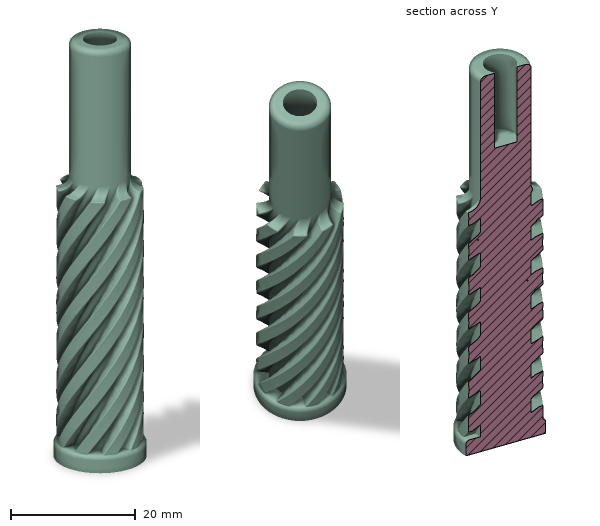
import cadquery as cq
import math

total_height = 72.5
shank_radius = 5.0
tip_fillet = 1.0
bore_radius = 2.75
bore_depth = 14.5

flange_radius = 15.0 / 2
flange_height = 3.0
flange_fillet = 0.8

ridge_count = 9
ridge_radius = 7.0
ridge_crest_width = 2.5
ridge_root_width = 2.0
ridge_root_radius = 4.35
ridge_lead = 59.95
ridge_bottom = 1.45
ridge_top = 49.0
first_ridge_direction = 360 * ridge_bottom / ridge_lead
ridge_fillet = 0.21
cove_runout = 0.01
cove_inner_radius = shank_radius - cove_runout
cove_radius = ridge_radius - shank_radius
cutter_margin = 0.7


def make_shank():
    """Round shank over the full height, rounded at the tip."""
    shank = cq.Workplane("XY").circle(shank_radius).extrude(total_height)
    return shank.faces(">Z").edges().fillet(tip_fillet)


def make_flange():
    """Disc at the foot with a rounded upper rim."""
    disc = cq.Workplane("XY").circle(flange_radius).extrude(flange_height)
    return disc.faces(">Z").edges().fillet(flange_fillet)


def make_plain_ridge():
    """One sharp-edged ridge that winds up around the axis and widens towards its crest."""
    half_root = ridge_root_width / 2
    half_crest = ridge_crest_width / 2
    crest_corner = math.sqrt(ridge_radius**2 - half_crest**2)
    section = (
        cq.Workplane("XY", origin=(0, 0, ridge_bottom))
        .moveTo(ridge_root_radius, -half_root)
        .lineTo(crest_corner, -half_crest)
        .threePointArc((ridge_radius, 0), (crest_corner, half_crest))
        .lineTo(ridge_root_radius, half_root)
        .close()
    )
    ridge_height = ridge_top - ridge_bottom
    ridge = section.twistExtrude(ridge_height, 360 * ridge_height / ridge_lead)
    return ridge.rotate((0, 0, 0), (0, 0, 1), first_ridge_direction)


def make_cove_cutter():
    """Ring that hollows the upper end of a ridge into a concave quarter round."""
    cove_bottom = ridge_top - cove_radius
    bend = cove_radius * (1 - math.sqrt(0.5))
    outside = ridge_radius + cutter_margin
    above = ridge_top + cutter_margin
    return (
        cq.Workplane("XZ")
        .moveTo(cove_inner_radius, ridge_top)
        .threePointArc(
            (cove_inner_radius + bend, cove_bottom + bend),
            (cove_inner_radius + cove_radius, cove_bottom),
        )
        .lineTo(outside, cove_bottom)
        .lineTo(outside, above)
        .lineTo(cove_inner_radius, above)
        .close()
        .revolve(360, (0, 0, 0), (0, 1, 0))
    )


def is_exposed(edge):
    """True for ridge edges that stand clear of the shank and the flange."""
    middle = edge.positionAt(0.5)
    clear_of_shank = math.hypot(middle.x, middle.y) > shank_radius
    return clear_of_shank and flange_height < middle.z < ridge_top


def make_ridge():
    """One ridge with its coved upper end and rounded edges."""
    ridge = make_plain_ridge().cut(make_cove_cutter())
    exposed_edges = [edge for edge in ridge.edges().vals() if is_exposed(edge)]
    return ridge.newObject(exposed_edges).fillet(ridge_fillet)


def make_bore():
    """Blind bore down from the tip."""
    return (
        cq.Workplane("XY")
        .workplane(offset=total_height - bore_depth)
        .circle(bore_radius)
        .extrude(bore_depth)
    )


first_ridge = make_ridge().val()
axis_start = cq.Vector(0, 0, 0)
axis_end = cq.Vector(0, 0, 1)
ridges = []
for index in range(ridge_count):
    direction = index * 360 / ridge_count
    ridges.append(first_ridge.rotate(axis_start, axis_end, direction))

body = make_shank().union(make_flange()).cut(make_bore())
result = cq.Workplane(body.val().fuse(cq.Compound.makeCompound(ridges))).solids()